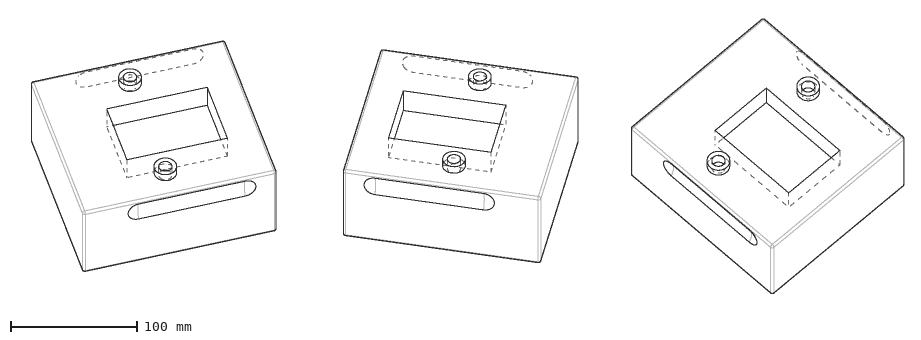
import cadquery as cq

BLOCK_X = 148.0
BLOCK_Y = 160.0
BLOCK_Z = 70.0
EDGE_RADIUS = 2.0

POCKET_X = 57.0
POCKET_Y = 83.0
POCKET_DEPTH = 21.0
POCKET_CENTER_Y = 11.0

BOSS_DIAMETER = 18.0
BOSS_HEIGHT = 7.0
BOSS_SPACING = 100.0
BOSS_Y = -5.0
BORE_DIAMETER = 10.5
BORE_DEPTH = 10.0

GRIP_RADIUS = 15.5
GRIP_DEPTH = 2.7
GRIP_STRAIGHT = 88.0
GRIP_CENTER_Y = 10.0
GRIP_CENTER_Z = 58.0
GRIP_AXIS_OFFSET = GRIP_RADIUS - GRIP_DEPTH


def make_block():
    block = cq.Workplane("XY").box(BLOCK_X, BLOCK_Y, BLOCK_Z, centered=(True, True, False))
    return block.edges().fillet(EDGE_RADIUS)


def make_pocket():
    floor = cq.Workplane("XY", origin=(0, POCKET_CENTER_Y, BLOCK_Z - POCKET_DEPTH))
    return floor.rect(POCKET_X, POCKET_Y).extrude(POCKET_DEPTH)


def make_boss(x):
    top_face = cq.Workplane("XY", origin=(x, BOSS_Y, BLOCK_Z))
    return top_face.circle(BOSS_DIAMETER / 2).extrude(BOSS_HEIGHT)


def make_bore(x):
    boss_top = cq.Workplane("XY", origin=(x, BOSS_Y, BLOCK_Z + BOSS_HEIGHT))
    return boss_top.circle(BORE_DIAMETER / 2).extrude(-BORE_DEPTH)


def make_grip(side):
    """Capsule along Y that cuts the grip; side is -1 or +1 for the X face."""
    axis_x = side * (BLOCK_X / 2 + GRIP_AXIS_OFFSET)
    half_profile = (
        cq.Workplane("XY", origin=(axis_x, GRIP_CENTER_Y, GRIP_CENTER_Z))
        .moveTo(0, -GRIP_STRAIGHT / 2 - GRIP_RADIUS)
        .radiusArc((GRIP_RADIUS, -GRIP_STRAIGHT / 2), -GRIP_RADIUS)
        .lineTo(GRIP_RADIUS, GRIP_STRAIGHT / 2)
        .radiusArc((0, GRIP_STRAIGHT / 2 + GRIP_RADIUS), -GRIP_RADIUS)
        .close()
    )
    return half_profile.revolve(360, (0, 0), (0, 1))


result = make_block().cut(make_pocket())
for side in (-1, 1):
    boss_x = side * BOSS_SPACING / 2
    result = result.union(make_boss(boss_x)).cut(make_bore(boss_x))
    result = result.cut(make_grip(side))